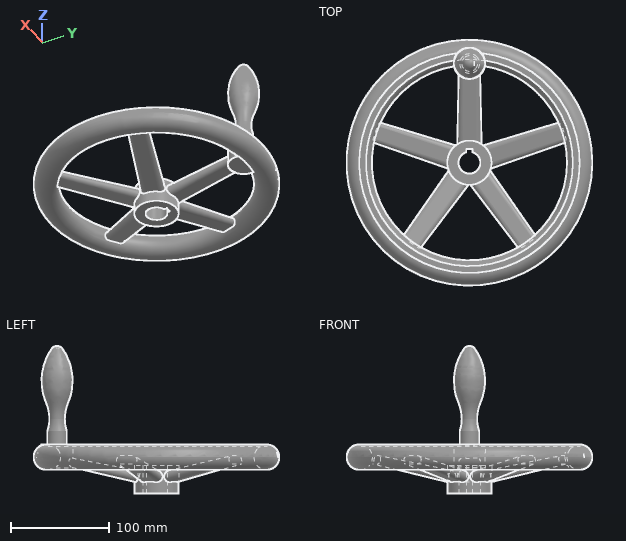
import cadquery as cq
import math

outer_diameter = 250.0
rim_section_radius = 13.0
rim_center_radius = outer_diameter / 2 - rim_section_radius
rim_center_z = 37.0
rim_top_z = rim_center_z + rim_section_radius
rim_step_depth = 2.0

hub_diameter = 45.0
hub_height = 28.5
bore_diameter = 22.0
key_width = 6.0
key_reach = 13.8

spoke_count = 5
spoke_pitch = 360 / spoke_count
spoke_flat_width = 13.0
spoke_start_radius = 17.0
spoke_end_inset = 4.0
spoke_end_radius = rim_center_radius - spoke_end_inset
spoke_start_z = 16.8
spoke_start_half_thickness = 6.1
spoke_end_half_thickness = 4.2

handle_offset = 101.0
boss_diameter = 32.0
boss_bottom_z = 26.0

handle_base_radius = 10.0
handle_base_top_z = 63.5
handle_neck_radius = 8.0
handle_neck_z = 75.5
handle_shoulder_radius = 11.2
handle_shoulder_z = 92.0
handle_belly_radius = 16.0
handle_belly_z = 114.7
handle_tip_radius = 5.0
handle_tip_z = 148.0
handle_top_z = 150.0


def sagitta_radius(rise, run):
    """Radius of an arc that starts along `run` and drifts sideways by `rise`."""
    return (rise**2 + run**2) / (2 * rise)


def make_rim():
    ring = (
        cq.Workplane("XZ")
        .center(rim_center_radius, rim_center_z)
        .circle(rim_section_radius)
        .revolve(360, (-rim_center_radius, 0), (-rim_center_radius, 1))
    )
    step = (
        cq.Workplane("XY")
        .workplane(offset=rim_top_z - rim_step_depth)
        .circle(rim_center_radius)
        .extrude(rim_step_depth)
    )
    return ring.cut(step)


def make_hub():
    return cq.Workplane("XY").circle(hub_diameter / 2).extrude(hub_height)


def make_spoke():
    """One spoke along +Y, rising from inside the hub and aimed at the center of the rim section."""
    run = spoke_end_radius - spoke_start_radius
    slope = (rim_center_z - spoke_start_z) / (rim_center_radius - spoke_start_radius)
    length = math.hypot(run, run * slope)
    thickness = 2 * spoke_start_half_thickness
    thinning = spoke_start_half_thickness - spoke_end_half_thickness
    section_plane = cq.Plane(
        origin=(0, spoke_start_radius, spoke_start_z),
        xDir=(1, 0, 0),
        normal=(0, 1, slope),
    )
    return (
        cq.Workplane(section_plane)
        .slot2D(spoke_flat_width + thickness, thickness)
        .extrude(length, taper=math.degrees(math.atan2(thinning, length)))
    )


def make_boss():
    return (
        cq.Workplane("XY")
        .workplane(offset=boss_bottom_z)
        .center(0, handle_offset)
        .circle(boss_diameter / 2)
        .extrude(rim_top_z - boss_bottom_z)
    )


def make_handle():
    lower_neck_curve = sagitta_radius(
        handle_base_radius - handle_neck_radius,
        handle_neck_z - handle_base_top_z,
    )
    upper_neck_curve = sagitta_radius(
        handle_shoulder_radius - handle_neck_radius,
        handle_shoulder_z - handle_neck_z,
    )
    tip_curve = sagitta_radius(handle_top_z - handle_tip_z, handle_tip_radius)
    profile = (
        cq.Workplane("XZ")
        .moveTo(0, boss_bottom_z)
        .lineTo(handle_base_radius, boss_bottom_z)
        .lineTo(handle_base_radius, handle_base_top_z)
        .radiusArc((handle_neck_radius, handle_neck_z), lower_neck_curve)
        .radiusArc((handle_shoulder_radius, handle_shoulder_z), upper_neck_curve)
        .threePointArc((handle_belly_radius, handle_belly_z), (handle_tip_radius, handle_tip_z))
        .radiusArc((0, handle_top_z), -tip_curve)
        .close()
    )
    return profile.revolve(360, (0, 0), (0, 1)).translate((0, handle_offset, 0))


def make_bore():
    bore = cq.Workplane("XY").circle(bore_diameter / 2).extrude(hub_height)
    keyway = (
        cq.Workplane("XY")
        .center(0, key_reach / 2)
        .rect(key_width, key_reach)
        .extrude(hub_height)
    )
    return bore.union(keyway)


result = make_rim().union(make_boss()).union(make_hub())
spoke = make_spoke()
for index in range(spoke_count):
    result = result.union(spoke.rotate((0, 0, 0), (0, 0, 1), index * spoke_pitch))
result = result.union(make_handle()).cut(make_bore())